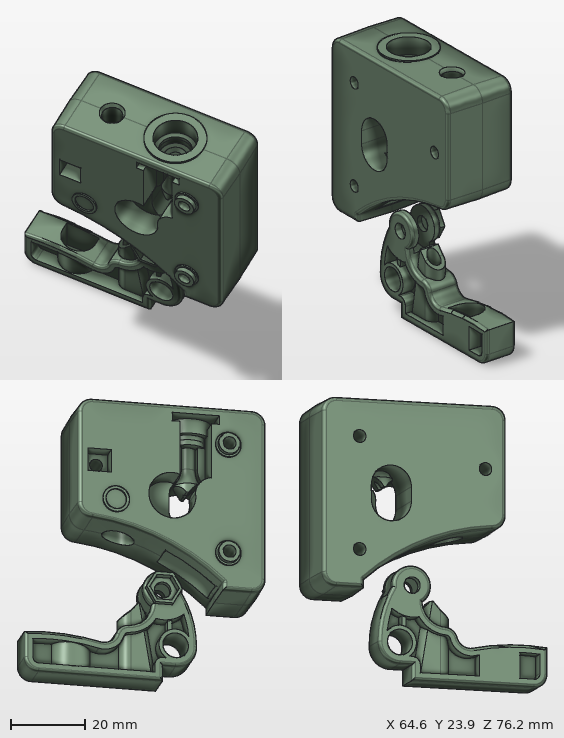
import cadquery as cq
import math


ARC_INSET = 1 - math.sqrt(0.5)

HOUSING_RIGHT = 52.0
HOUSING_TOP = 75.9
HOUSING_BOTTOM = 23.8
HOUSING_FRONT = -10.4
HOUSING_BACK = 11.65
CORNER_RADIUS = 4.0
DRAFT_ANGLE = 1.3
HOUSING_EDGE_FILLET = 1.0
LEFT_SIDE_END = 46.0
CORNER_MIDDLE = (1.1, 43.1)
BELLY_START = (4.1, 41.7)
BELLY_MIDDLE = (26.9, 35.1)
BELLY_END = (39.9, 26.05)

SCREW_X = 41.4
SCREW_HEIGHTS = (34.4, 65.35)
SCREW_HOLE = 3.5
LUG_BASE = 7.0
LUG_TIP = 5.9
BASE_HEIGHT = 0.45
LUG_HEIGHT = 1.8
RING_CENTRE = (10.5, 47.45)
RING_OUTER = 7.3
RING_INNER = 5.6
NUT_CENTRE = (6.0, 58.3)
NUT_SIDE = 6.4
NUT_DEPTH = 4.6

GUIDE_X = 32.5
GUIDE_TOP = 76.15
FLANGE = 17.0
FLANGE_THICKNESS = 0.6
SOCKET_OUTER = 12.95
SOCKET_END = 69.4
NECK = 9.75
NECK_END = 66.65
TUBE = 4.35
TUBE_END = 60.6
FLARE = 7.6
FLARE_MIDDLE = (2.6, 58.2)
FLARE_END = 56.05
TIP_END = 53.5
UPPER_BORE = 12.0
UPPER_BORE_FLOOR = 70.8
LOWER_BORE = 9.2
LOWER_BORE_FLOOR = 68.2
CONE_TOP = 6.4
CONE_BOTTOM = 4.2
CONE_DEPTH = 0.75
FILAMENT_HOLE = 2.3
ROLLER_CENTRE = (39.2, 49.05)
ROLLER_RADIUS = 8.3

KEYHOLE_CENTRE = (26.05, 49.8)
KEYHOLE_RADIUS = 6.5
GEAR_CLEARANCE = 0.1
WINDOW_WIDTH = 8.7
WINDOW_HEAD_TOP = 73.5
WINDOW_HEAD_BOTTOM = 71.05
WINDOW_SHOULDER = (36.85, 55.7)
SHOULDER_MIDDLE = (33.75, 54.1)
SHOULDER_END = (32.45, 50.35)
WINDOW_FLOOR = -2.75
SLOT_RADIUS = 5.6
SLOT_LOW = 48.3
SLOT_HIGH = 52.25
CAVITY_FRONT = -4.9
CAVITY_BACK = 5.0
CAVITY_FLOOR = 26.8
CAVITY_CHAMFER = 1.15
CAVITY_RIGHT = 47.2
CAVITY_ROOF = 44.2
CAVITY_LEFT = 25.35
CAVITY_LEFT_TOP = 37.0
SCREW_BOSS = 6.1
BOLT_X = 13.4
BOLT_MOUTH = 7.0
BOLT_MOUTH_DEPTH = 1.15
BOLT_HOLE = 5.7
BOLT_EXIT = 8.7
BOLT_EXIT_TOP = 45.7

LEVER_LEFT = -12.6
LEVER_TIP_TOP = 11.1
LEVER_RIGHT = 25.5
LEVER_FRONT = -1.5
LEVER_BACK = 8.2
LEVER_MIDDLE = (LEVER_FRONT + LEVER_BACK) / 2
LEVER_CORNER = 3.8
LEVER_FILLET = 0.8
LEVER_WALL = 2.2
WEB = 1.5
HUB_CENTRE = (25.6, 26.05)
HUB_RADIUS = 5.3
HUB_HOLE = 4.5
FORK_LEG = 2.2
FORK_RADIUS = 6.85
FORK_FLOOR_RADIUS = 8.75
HEX_OUTER = 8.6
HEX_INNER = 7.0
HEX_FACE = -3.1
HEX_FLOOR = -0.75
EYE_CENTRE = (29.0, 10.3)
EYE_RADIUS = 5.95
EYE_HOLE = 7.0
EYE_RING = 9.2
RIB_X = 27.6
RIB_WIDTH = 1.2
RIB_HEIGHT = 3.8
CUP_X = 1.0
CUP_Y = 4.6
CUP_RADIUS = 4.9
CUP_OUTER_RADIUS = 5.7
CUP_BACK = 7.0
SEAT_X = 17.05
SEAT_RADIUS = 3.05
SEAT_HOLE_RADIUS = 1.9
SEAT_HOLE_FLOOR = 15.2
SEAT_TOP = 22.3
SEAT_LOW_END = 22.7
SEAT_HIGH_END = 19.35
SEAT_SLOPE = 2.1
SEAT_RIM_LEFT = 17.6
SEAT_RIM_MIDDLE = 19.95
SEAT_PEAK_X = 19.1


def xz_plane(y):
    return cq.Workplane("XZ", origin=(0, y, 0))


def y_cylinder(centre, diameter, y_front, y_back):
    return xz_plane(y_back).center(*centre).circle(diameter / 2).extrude(y_back - y_front)


def z_cylinder(x, y, diameter, z_low, z_high):
    plane = cq.Workplane("XY", origin=(x, y, z_low))
    return plane.circle(diameter / 2).extrude(z_high - z_low)


def box(x_range, y_range, z_range):
    sizes = [high - low for low, high in (x_range, y_range, z_range)]
    corner = cq.Vector(x_range[0], y_range[0], z_range[0])
    return cq.Workplane(cq.Solid.makeBox(*sizes, corner))


def point_on_circle(centre, radius, angle):
    turn = math.radians(angle)
    return (centre[0] + radius * math.cos(turn), centre[1] + radius * math.sin(turn))


def guide_outside():
    """Outside of the insert, before its tip is relieved and its bore is cut."""
    flange_bottom = GUIDE_TOP - FLANGE_THICKNESS
    return (
        cq.Workplane("XZ", origin=(GUIDE_X, 0, 0))
        .moveTo(0, GUIDE_TOP)
        .lineTo(FLANGE / 2, GUIDE_TOP)
        .lineTo(FLANGE / 2, flange_bottom)
        .lineTo(SOCKET_OUTER / 2, flange_bottom)
        .lineTo(SOCKET_OUTER / 2, SOCKET_END)
        .lineTo(NECK / 2, SOCKET_END)
        .lineTo(NECK / 2, NECK_END)
        .lineTo(TUBE / 2, NECK_END)
        .lineTo(TUBE / 2, TUBE_END)
        .threePointArc(FLARE_MIDDLE, (FLARE / 2, FLARE_END))
        .lineTo(FLARE / 2, TIP_END)
        .lineTo(0, TIP_END)
        .close()
        .revolve(360, (0, 0, 0), (0, 1, 0))
    )


def guide_bore():
    """Stepped bore that narrows in a cone to the filament hole."""
    cone_bottom = LOWER_BORE_FLOOR - CONE_DEPTH
    return (
        cq.Workplane("XZ", origin=(GUIDE_X, 0, 0))
        .moveTo(0, GUIDE_TOP)
        .lineTo(UPPER_BORE / 2, GUIDE_TOP)
        .lineTo(UPPER_BORE / 2, UPPER_BORE_FLOOR)
        .lineTo(LOWER_BORE / 2, UPPER_BORE_FLOOR)
        .lineTo(LOWER_BORE / 2, LOWER_BORE_FLOOR)
        .lineTo(CONE_TOP / 2, LOWER_BORE_FLOOR)
        .lineTo(CONE_BOTTOM / 2, cone_bottom)
        .lineTo(FILAMENT_HOLE / 2, cone_bottom)
        .lineTo(FILAMENT_HOLE / 2, TIP_END)
        .lineTo(0, TIP_END)
        .close()
        .revolve(360, (0, 0, 0), (0, 1, 0))
    )


def make_guide():
    gear_relief = 2 * (KEYHOLE_RADIUS + GEAR_CLEARANCE)
    guide = guide_outside()
    guide = guide.cut(y_cylinder(KEYHOLE_CENTRE, gear_relief, -FLARE, FLARE))
    guide = guide.cut(y_cylinder(ROLLER_CENTRE, 2 * ROLLER_RADIUS, -FLARE, FLARE))
    return guide.cut(guide_bore())


def housing_outline(workplane):
    inset = CORNER_RADIUS * ARC_INSET
    right = HOUSING_RIGHT
    return (
        workplane.moveTo(CORNER_RADIUS, HOUSING_TOP)
        .lineTo(right - CORNER_RADIUS, HOUSING_TOP)
        .threePointArc((right - inset, HOUSING_TOP - inset), (right, HOUSING_TOP - CORNER_RADIUS))
        .lineTo(right, HOUSING_BOTTOM + CORNER_RADIUS)
        .threePointArc((right - inset, HOUSING_BOTTOM + inset), (right - CORNER_RADIUS, HOUSING_BOTTOM))
        .lineTo(BELLY_END[0], HOUSING_BOTTOM)
        .lineTo(*BELLY_END)
        .threePointArc(BELLY_MIDDLE, BELLY_START)
        .threePointArc(CORNER_MIDDLE, (0, LEFT_SIDE_END))
        .lineTo(0, HOUSING_TOP - CORNER_RADIUS)
        .threePointArc((inset, HOUSING_TOP - inset), (CORNER_RADIUS, HOUSING_TOP))
        .close()
    )


def housing_half(depth):
    half = housing_outline(cq.Workplane("XZ")).extrude(depth, taper=DRAFT_ANGLE)
    return half.faces("<Y").edges().fillet(HOUSING_EDGE_FILLET)


def housing_block():
    """Block that tapers both ways from the parting plane, with rounded outer edges."""
    front = housing_half(-HOUSING_FRONT)
    back = housing_half(HOUSING_BACK).mirror("XZ")
    return front.union(back)


def front_window():
    """Keyhole and T-shaped opening that show the guide from the front."""
    depth = WINDOW_FLOOR - HOUSING_FRONT
    half_window = WINDOW_WIDTH / 2
    half_head = SOCKET_OUTER / 2
    keyhole = y_cylinder(KEYHOLE_CENTRE, 2 * KEYHOLE_RADIUS, HOUSING_FRONT, WINDOW_FLOOR)
    tee = (
        xz_plane(WINDOW_FLOOR)
        .moveTo(GUIDE_X - half_window, KEYHOLE_CENTRE[1])
        .lineTo(GUIDE_X - half_window, WINDOW_HEAD_BOTTOM)
        .lineTo(GUIDE_X - half_head, WINDOW_HEAD_BOTTOM)
        .lineTo(GUIDE_X - half_head, WINDOW_HEAD_TOP)
        .lineTo(GUIDE_X + half_head, WINDOW_HEAD_TOP)
        .lineTo(GUIDE_X + half_head, WINDOW_HEAD_BOTTOM)
        .lineTo(WINDOW_SHOULDER[0], WINDOW_HEAD_BOTTOM)
        .lineTo(*WINDOW_SHOULDER)
        .threePointArc(SHOULDER_MIDDLE, SHOULDER_END)
        .close()
        .extrude(depth)
    )
    return keyhole.union(tee)


def guide_slot():
    """Room in front of the tube and flare, as wide as they are."""
    middle_radius, middle_height = FLARE_MIDDLE
    return (
        cq.Workplane("XZ")
        .moveTo(GUIDE_X - TUBE / 2, NECK_END)
        .lineTo(GUIDE_X + TUBE / 2, NECK_END)
        .lineTo(GUIDE_X + TUBE / 2, TUBE_END)
        .threePointArc((GUIDE_X + middle_radius, middle_height), (GUIDE_X + FLARE / 2, FLARE_END))
        .lineTo(GUIDE_X - FLARE / 2, FLARE_END)
        .threePointArc((GUIDE_X - middle_radius, middle_height), (GUIDE_X - TUBE / 2, TUBE_END))
        .close()
        .extrude(-WINDOW_FLOOR)
    )


def drive_slot():
    """Round-ended slot below the guide, open to the back."""
    length = SLOT_HIGH - SLOT_LOW + 2 * SLOT_RADIUS
    middle = (SLOT_HIGH + SLOT_LOW) / 2
    depth = HOUSING_BACK - WINDOW_FLOOR
    return xz_plane(HOUSING_BACK).center(GUIDE_X, middle).slot2D(length, 2 * SLOT_RADIUS, 90).extrude(depth)


def lever_cavity():
    """Cavity for the lever, open through the concave underside, with a boss round the lower screw."""
    cavity = (
        xz_plane(CAVITY_BACK)
        .moveTo(CAVITY_LEFT, CAVITY_FLOOR)
        .lineTo(CAVITY_RIGHT - CAVITY_CHAMFER, CAVITY_FLOOR)
        .lineTo(CAVITY_RIGHT, CAVITY_FLOOR + CAVITY_CHAMFER)
        .lineTo(CAVITY_RIGHT, CAVITY_ROOF)
        .lineTo(GUIDE_X, CAVITY_ROOF)
        .lineTo(CAVITY_LEFT, CAVITY_LEFT_TOP)
        .close()
        .extrude(CAVITY_BACK - CAVITY_FRONT)
    )
    boss = y_cylinder((SCREW_X, SCREW_HEIGHTS[0]), SCREW_BOSS, CAVITY_FRONT, CAVITY_BACK)
    return cavity.cut(boss)


def bolt_hole():
    """Vertical hole with a tapered mouth at the top and a wider exit in the underside."""
    mouth_bottom = HOUSING_TOP - BOLT_MOUTH_DEPTH
    return (
        cq.Workplane("YZ", origin=(BOLT_X, 0, 0))
        .moveTo(0, HOUSING_TOP)
        .lineTo(BOLT_MOUTH / 2, HOUSING_TOP)
        .lineTo(BOLT_HOLE / 2, mouth_bottom)
        .lineTo(BOLT_HOLE / 2, BOLT_EXIT_TOP)
        .lineTo(BOLT_EXIT / 2, BOLT_EXIT_TOP)
        .lineTo(BOLT_EXIT / 2, HOUSING_BOTTOM)
        .lineTo(0, HOUSING_BOTTOM)
        .close()
        .revolve(360, (0, 0, 0), (0, 1, 0))
    )


def nut_pocket():
    """Square pocket with a screw hole through its floor."""
    pocket = xz_plane(HOUSING_FRONT + NUT_DEPTH).center(*NUT_CENTRE).rect(NUT_SIDE, NUT_SIDE)
    hole = y_cylinder(NUT_CENTRE, SCREW_HOLE, HOUSING_FRONT, HOUSING_BACK)
    return pocket.extrude(NUT_DEPTH).union(hole)


def make_housing():
    housing = housing_block()
    base_face = HOUSING_FRONT - BASE_HEIGHT
    lug_face = HOUSING_FRONT - LUG_HEIGHT

    ring = y_cylinder(RING_CENTRE, RING_OUTER, base_face, HOUSING_FRONT)
    ring = ring.cut(y_cylinder(RING_CENTRE, RING_INNER, base_face, HOUSING_FRONT))
    housing = housing.union(ring)
    for height in SCREW_HEIGHTS:
        centre = (SCREW_X, height)
        housing = housing.union(y_cylinder(centre, LUG_BASE, base_face, HOUSING_FRONT))
        housing = housing.union(y_cylinder(centre, LUG_TIP, lug_face, HOUSING_FRONT))

    housing = housing.cut(front_window()).cut(guide_slot()).cut(drive_slot())
    housing = housing.cut(lever_cavity()).cut(bolt_hole()).cut(nut_pocket())
    for height in SCREW_HEIGHTS:
        housing = housing.cut(y_cylinder((SCREW_X, height), SCREW_HOLE, lug_face, HOUSING_BACK))
    return housing.cut(guide_outside())


def lever_outline(workplane):
    """Outline of the lever without the round hub, which covers the corner at its centre."""
    inset = LEVER_CORNER * ARC_INSET
    eye_x, eye_z = EYE_CENTRE
    return (
        workplane.moveTo(LEVER_LEFT, LEVER_TIP_TOP)
        .threePointArc((-2.1, 11.4), (8.3, 9.9))
        .tangentArcPoint((12.7, 12.5), relative=False)
        .tangentArcPoint((16.1, 15.15), relative=False)
        .tangentArcPoint(point_on_circle(HUB_CENTRE, HUB_RADIUS - LEVER_FILLET, 228), relative=False)
        .lineTo(*HUB_CENTRE)
        .lineTo(*point_on_circle(HUB_CENTRE, HUB_RADIUS - LEVER_FILLET, 10))
        .threePointArc((33.8, 18.6), (eye_x + EYE_RADIUS, eye_z))
        .threePointArc(point_on_circle(EYE_CENTRE, EYE_RADIUS, 315), (eye_x, eye_z - EYE_RADIUS))
        .lineTo(LEVER_RIGHT, eye_z - EYE_RADIUS)
        .lineTo(LEVER_RIGHT, 0)
        .lineTo(LEVER_LEFT + LEVER_CORNER, 0)
        .threePointArc((LEVER_LEFT + inset, inset), (LEVER_LEFT, LEVER_CORNER))
        .close()
    )


def upright_u(x, y, radius, y_end, z_low, z_high):
    """Vertical half-round column with straight sides that run back to y_end."""
    return (
        cq.Workplane("XY", origin=(x, y, z_low))
        .moveTo(-radius, 0)
        .threePointArc((0, -radius), (radius, 0))
        .lineTo(radius, y_end - y)
        .lineTo(-radius, y_end - y)
        .close()
        .extrude(z_high - z_low)
    )


def seat_section(z, right_end):
    """Straight sides, with slopes on the right that lead back to the web."""
    return (
        cq.Workplane("XY", origin=(0, LEVER_MIDDLE, z))
        .moveTo(SEAT_X, -SEAT_RADIUS)
        .lineTo(right_end, -SEAT_RADIUS)
        .lineTo(right_end + SEAT_SLOPE, 0)
        .lineTo(right_end, SEAT_RADIUS)
        .lineTo(SEAT_X, SEAT_RADIUS)
        .close()
        .wires()
        .val()
    )


def spring_seat():
    """Round-fronted column that narrows upward and has a sloping rim."""
    block = cq.Solid.makeLoft(
        [seat_section(LEVER_WALL, SEAT_LOW_END), seat_section(SEAT_TOP, SEAT_HIGH_END)], True
    )
    seat = z_cylinder(SEAT_X, LEVER_MIDDLE, 2 * SEAT_RADIUS, LEVER_WALL, SEAT_TOP).union(cq.Workplane(block))
    above = (
        xz_plane(LEVER_BACK)
        .moveTo(SEAT_X - SEAT_RADIUS, SEAT_RIM_LEFT)
        .lineTo(SEAT_X, SEAT_RIM_MIDDLE)
        .lineTo(SEAT_PEAK_X, SEAT_TOP)
        .lineTo(SEAT_X - SEAT_RADIUS, SEAT_TOP)
        .close()
        .extrude(LEVER_BACK - LEVER_FRONT)
    )
    return seat.cut(above)


def side_pocket(y_front, y_back):
    """Hollow inside the lever wall, leaving the web, eye ring, hub wall, cup and rib."""
    pocket = lever_outline(xz_plane(y_back)).offset2D(-LEVER_WALL).extrude(y_back - y_front)
    pocket = pocket.cut(y_cylinder(HUB_CENTRE, 2 * FORK_FLOOR_RADIUS, y_front, y_back))
    pocket = pocket.cut(y_cylinder(EYE_CENTRE, EYE_RING, y_front, y_back))
    pocket = pocket.cut(upright_u(CUP_X, CUP_Y, CUP_OUTER_RADIUS, LEVER_BACK, 0, HUB_CENTRE[1]))
    rib_ends = (LEVER_MIDDLE - RIB_HEIGHT, LEVER_MIDDLE + RIB_HEIGHT)
    rib = box((RIB_X - RIB_WIDTH / 2, RIB_X + RIB_WIDTH / 2), rib_ends, (EYE_CENTRE[1], HUB_CENTRE[1]))
    return pocket.cut(rib)


def hexagon(across_flats, y_front, y_back):
    corner_diameter = across_flats / math.cos(math.pi / 6)
    return xz_plane(y_back).center(*HUB_CENTRE).polygon(6, corner_diameter).extrude(y_back - y_front)


def make_lever():
    lever = lever_outline(xz_plane(LEVER_BACK)).extrude(LEVER_BACK - LEVER_FRONT)
    lever = lever.faces("<Y or >Y").edges().fillet(LEVER_FILLET)
    hub = y_cylinder(HUB_CENTRE, 2 * HUB_RADIUS, LEVER_FRONT, LEVER_BACK)
    lever = lever.union(hub.faces("<Y or >Y").edges().fillet(LEVER_FILLET))
    lever = lever.cut(side_pocket(LEVER_FRONT, LEVER_MIDDLE - WEB / 2))
    lever = lever.cut(side_pocket(LEVER_MIDDLE + WEB / 2, LEVER_BACK))
    lever = lever.cut(upright_u(CUP_X, CUP_Y, CUP_RADIUS, CUP_BACK, LEVER_WALL, HUB_CENTRE[1]))

    lever = lever.union(spring_seat())
    lever = lever.cut(
        z_cylinder(SEAT_X, LEVER_MIDDLE, 2 * SEAT_HOLE_RADIUS, SEAT_HOLE_FLOOR, SEAT_TOP)
    )
    lever = lever.cut(
        y_cylinder(HUB_CENTRE, 2 * FORK_RADIUS, LEVER_FRONT + FORK_LEG, LEVER_BACK - FORK_LEG)
    )

    lever = lever.union(hexagon(HEX_OUTER, HEX_FACE, LEVER_FRONT + FORK_LEG))
    lever = lever.cut(hexagon(HEX_INNER, HEX_FACE, HEX_FLOOR))
    lever = lever.cut(y_cylinder(HUB_CENTRE, HUB_HOLE, HEX_FACE, LEVER_BACK))
    return lever.cut(y_cylinder(EYE_CENTRE, EYE_HOLE, LEVER_FRONT, LEVER_BACK))


housing = make_housing()
guide = make_guide()
lever = make_lever()
result = cq.Compound.makeCompound([*housing.solids().vals(), *guide.solids().vals(), *lever.solids().vals()])